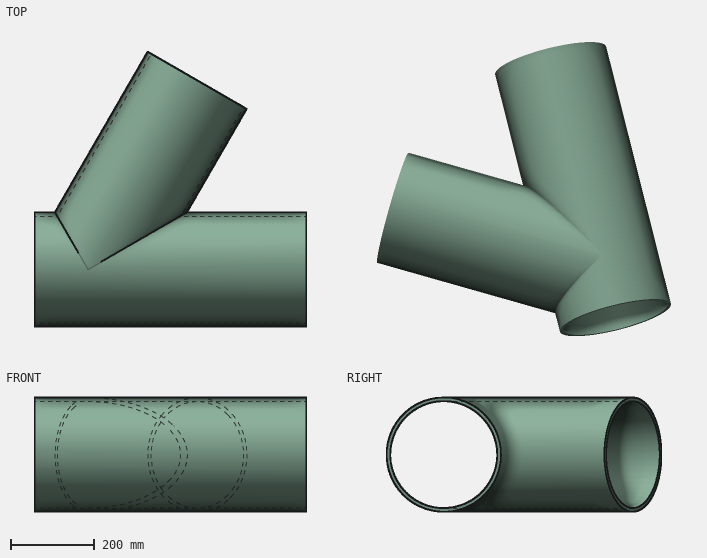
import cadquery as cq
import math

OUTER_DIAMETER = 273.05
BORE_DIAMETER = 254.51

SHORT_LEG = 127.0
LONG_LEG = 520.7
BRANCH_LEG = 520.7

BRANCH_ANGLE = math.radians(60)

RUN_DIRECTION = cq.Vector(1, 0, 0)
BRANCH_DIRECTION = cq.Vector(math.cos(BRANCH_ANGLE), math.sin(BRANCH_ANGLE), 0)
AXES_CROSSING = cq.Vector(0, 0, 0)


def rod(diameter, start, direction, length):
    """Solid cylinder starting at a point and running along a direction."""
    return cq.Workplane(cq.Solid.makeCylinder(diameter / 2, length, start, direction))


def lateral(diameter):
    """Run and branch cylinders of one diameter, joined into a solid wye."""
    run_start = AXES_CROSSING - RUN_DIRECTION * SHORT_LEG
    run = rod(diameter, run_start, RUN_DIRECTION, SHORT_LEG + LONG_LEG)
    branch = rod(diameter, AXES_CROSSING, BRANCH_DIRECTION, BRANCH_LEG)
    return run.union(branch)


result = lateral(OUTER_DIAMETER).cut(lateral(BORE_DIAMETER))